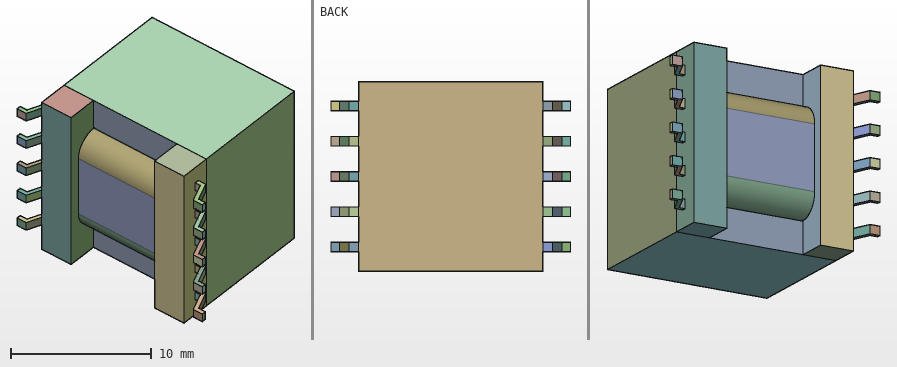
import cadquery as cq

overall_width = 17.0
body_width = 13.06
body_height = 13.46

core_depth = 9.85

rail_width = 2.7
rail_depth = 2.5
rail_gap = body_width - 2 * rail_width

winding_side = 8.46
winding_radius = 1.7
winding_projection = 1.74
winding_end_gap = 0.05
winding_wall = 0.9
winding_length = rail_gap - 2 * winding_end_gap
winding_center_y = winding_side / 2 - winding_projection

spindle_side = winding_side - 2 * winding_wall
spindle_radius = winding_radius - winding_wall

pin_count = 5
pin_pitch = 2.5
pin_height = 0.7
pin_thickness = 0.35
shoulder_setback = 0.9
foot_projection = 0.35
foot_top_length = 0.62
foot_sole_length = 0.83
leg_run = 0.67


def rounded_bar(length, side, radius):
    """Square bar along X on the winding axis, with its long edges rounded."""
    bar = cq.Workplane("XY").box(length, side, side).edges("|X").fillet(radius)
    return bar.translate((0, winding_center_y, 0))


def make_core():
    block = cq.Workplane("XY").box(body_width, core_depth, body_height, centered=(True, False, True))
    return block.cut(rounded_bar(rail_gap, winding_side, winding_radius))


def make_winding():
    bore = rounded_bar(winding_length, spindle_side, spindle_radius)
    return rounded_bar(winding_length, winding_side, winding_radius).cut(bore)


def make_pin(z):
    """Pin on the -X side, centred at height z: shoulder, sloping leg and foot."""
    rail_x = -body_width / 2
    tip_x = -overall_width / 2
    shoulder_back = -shoulder_setback
    shoulder_front = shoulder_back - pin_thickness
    sole = -(rail_depth + foot_projection)
    foot_back = sole + pin_thickness
    return (
        cq.Workplane("XY")
        .workplane(offset=z - pin_height / 2)
        .moveTo(rail_x, shoulder_back)
        .lineTo(tip_x + foot_top_length + leg_run, shoulder_back)
        .lineTo(tip_x + foot_top_length, foot_back)
        .lineTo(tip_x, foot_back)
        .lineTo(tip_x, sole)
        .lineTo(tip_x + foot_sole_length, sole)
        .lineTo(tip_x + foot_sole_length + leg_run, shoulder_front)
        .lineTo(rail_x, shoulder_front)
        .close()
        .extrude(pin_height)
    )


def make_bobbin():
    rail_center_x = -(body_width - rail_width) / 2
    side = (
        cq.Workplane("XY")
        .box(rail_width, rail_depth, body_height)
        .translate((rail_center_x, -rail_depth / 2, 0))
    )
    for index in range(pin_count):
        side = side.union(make_pin((index - (pin_count - 1) / 2) * pin_pitch))
    spindle = rounded_bar(rail_gap, spindle_side, spindle_radius)
    return spindle.union(side).union(side.mirror("YZ"))


core = make_core()
winding = make_winding()
bobbin = make_bobbin()

result = cq.Compound.makeCompound([body.solids().val() for body in (core, winding, bobbin)])